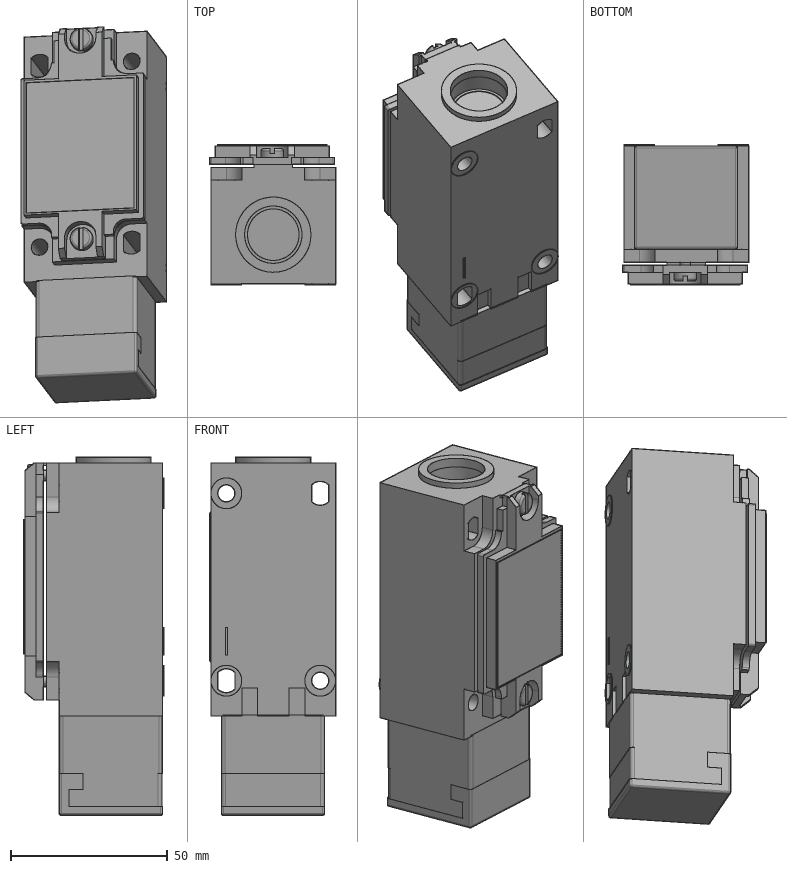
import cadquery as cq

TOTAL_HEIGHT = 114.7

HOUSING_WIDTH = 40.0
HOUSING_BOTTOM = 31.8
HOUSING_TOP = 112.9
SHELF_DEPTH = 33.1
BOSS_DEPTH = 37.3
BOSS_BOTTOM = 36.9
UPPER_POCKET_BOTTOM = 97.0
LOWER_POCKET_TOP = 49.3
POCKET_WIDTH = 10.0
POCKET_RADIUS = 4.9
TONGUE_WIDTH = 12.4
TONGUE_THICKNESS = 0.9
RAISED = 0.3

HOLE_SPACING_X = 30.0
HOLE_SPACING_Z = 60.0
LOWER_HOLE_Z = 43.1
HOLE_DIAMETER = 5.4
SLOT_LENGTH = 7.6
RIM_DIAMETER = 9.9

RIB_WIDTH = 0.7
RIB_BOTTOM = 51.4
RIB_TOP = 60.2
KEYWAY_CENTER_X = 7.6
KEYWAY_WIDTH = 5.0
KEYWAY_TOP = 40.8
KEYWAY_DEPTH = 1.7

ENTRY_Y = 15.7
COLLAR_DIAMETER = 24.1
COLLAR_BOTTOM = 111.7
ENTRY_BORE = 18.4
ENTRY_FLOOR_BORE = 16.5
ENTRY_STEP_Z = 106.2
ENTRY_FLOOR_Z = 106.0

HEAD_WIDTH = 33.0
HEAD_X = -0.1
HEAD_SEAT = 0.3
HEAD_FILLET = 1.1
HEAD_FRONT = 0.1
LOWER_HEAD_FRONT = 0.2
LOWER_HEAD_FILLET = 1.3
CAP_FLOOR = 2.9
CAP_TOP = 13.4
CAP_WALL = 3.2
HOOK_BOTTOM = 8.4
HOOK_REACH = 7.7
CAP_FILLET = 0.7

COVER_X = -0.3
FLANGE_BACK = 38.2
FLANGE_FRONT = 40.5
COVER_FRONT = 44.2
WING_WIDTH = 40.0
WING_BOTTOM = 49.1
WING_TOP = 97.2
WING_FILLET = 0.6
BLOCK_WIDTH = 36.6
BLOCK_BOTTOM = 51.0
BLOCK_TOP = 95.7
NECK_WIDTH = 20.2
UPPER_NECK_RADIUS = 4.8
LOWER_NECK_RADIUS = 4.1
NECK_BOTTOM = 44.3
NECK_TOP = 109.2
SHOULDER_WIDTH = 18.6
FLANGE_TAB_WIDTH = 12.4
TAB_WIDTH = 14.2
TAB_CHAMFER_Y = 3.0
TAB_CHAMFER_Z = 2.5
NOTCH_WIDTH = 10.2

LABEL_WIDTH = 35.1
LABEL_BOTTOM = 51.6
LABEL_TOP = 94.7

SCREW_LEVELS = (42.9, 108.9)
SHANK_DIAMETER = 3.4
SHANK_END = 31.0
SCREW_HEAD_DIAMETER = 7.1
SCREW_HEAD_HEIGHT = 2.8
SCREW_HEAD_FILLET = 0.7
SCREW_SLOT_WIDTH = 1.4
SCREW_SLOT_DEPTH = 1.5

UPPER_HOLE_Z = LOWER_HOLE_Z + HOLE_SPACING_Z
HOLE_X = HOLE_SPACING_X / 2
HEAD_TOP = HOUSING_BOTTOM + HEAD_SEAT


def block(x_mid, width, y_range, z_range):
    """Box centred on x_mid, between two Y values and two Z values."""
    depth = y_range[1] - y_range[0]
    height = z_range[1] - z_range[0]
    return (
        cq.Workplane("XY")
        .box(width, depth, height, centered=(True, False, False))
        .translate((x_mid, y_range[0], z_range[0]))
    )


def rod(x, z, diameter, y_start, y_end):
    """Cylinder along Y."""
    return cq.Workplane(cq.Solid.makeCylinder(
        diameter / 2, y_end - y_start, cq.Vector(x, y_start, z), cq.Vector(0, 1, 0)))


def upright(diameter, z_start, z_end):
    """Cylinder along Z on the cable entry axis."""
    return cq.Workplane(cq.Solid.makeCylinder(
        diameter / 2, z_end - z_start, cq.Vector(0, ENTRY_Y, z_start)))


def corner_pocket(side, z_range, inner_edge):
    """Rear corner pocket, rounded at its inner corner."""
    x_mid = side * (HOUSING_WIDTH - POCKET_WIDTH) / 2
    pocket = block(x_mid, POCKET_WIDTH, (SHELF_DEPTH, BOSS_DEPTH), z_range)
    x_selector = "<X" if side > 0 else ">X"
    return pocket.faces(x_selector).edges(inner_edge).fillet(POCKET_RADIUS)


def mounting_slot(x, z):
    """Hole with flat sides and arched ends."""
    arch = rod(x, z, SLOT_LENGTH, -RAISED, BOSS_DEPTH)
    flats = block(x, HOLE_DIAMETER, (-RAISED, BOSS_DEPTH), (z - SLOT_LENGTH, z + SLOT_LENGTH))
    return arch.intersect(flats)


def make_housing():
    body = block(0, HOUSING_WIDTH, (0, SHELF_DEPTH), (HOUSING_BOTTOM, HOUSING_TOP))
    body = body.union(block(0, HOUSING_WIDTH, (SHELF_DEPTH, BOSS_DEPTH), (BOSS_BOTTOM, HOUSING_TOP)))
    for side in (-1, 1):
        body = body.cut(corner_pocket(side, (UPPER_POCKET_BOTTOM, HOUSING_TOP), "<Z"))
        body = body.cut(corner_pocket(side, (BOSS_BOTTOM, LOWER_POCKET_TOP), ">Z"))
    tongue_levels = (HOUSING_TOP - TONGUE_THICKNESS, HOUSING_TOP)
    body = body.union(block(0, TONGUE_WIDTH, (BOSS_DEPTH, FLANGE_BACK), tongue_levels))

    for x, z in ((-HOLE_X, UPPER_HOLE_Z), (-HOLE_X, LOWER_HOLE_Z), (HOLE_X, LOWER_HOLE_Z)):
        body = body.union(rod(x, z, RIM_DIAMETER, -RAISED, 0))
    body = body.union(block(-HOLE_X, RIB_WIDTH, (-RAISED, 0), (RIB_BOTTOM, RIB_TOP)))

    for x, z in ((-HOLE_X, UPPER_HOLE_Z), (HOLE_X, LOWER_HOLE_Z)):
        body = body.cut(rod(x, z, HOLE_DIAMETER, -RAISED, BOSS_DEPTH))
    for x, z in ((HOLE_X, UPPER_HOLE_Z), (-HOLE_X, LOWER_HOLE_Z)):
        body = body.cut(mounting_slot(x, z))

    for side in (-1, 1):
        keyway = block(side * KEYWAY_CENTER_X, KEYWAY_WIDTH, (0, KEYWAY_DEPTH), (HOUSING_BOTTOM, KEYWAY_TOP))
        body = body.cut(keyway)

    body = body.cut(upright(COLLAR_DIAMETER, COLLAR_BOTTOM, HOUSING_TOP))
    body = body.cut(upright(ENTRY_BORE, ENTRY_STEP_Z, HOUSING_TOP))
    body = body.cut(upright(ENTRY_FLOOR_BORE, ENTRY_FLOOR_Z, ENTRY_STEP_Z))

    body = body.cut(head_blank())
    for z in SCREW_LEVELS:
        body = body.cut(rod(COVER_X, z, SHANK_DIAMETER, SHANK_END, FLANGE_BACK))
    return body


def make_collar():
    ring = upright(COLLAR_DIAMETER, COLLAR_BOTTOM, TOTAL_HEIGHT)
    return ring.cut(upright(ENTRY_BORE, COLLAR_BOTTOM, TOTAL_HEIGHT))


def head_blank():
    """Head with rounded upright edges, before the end cap is taken out of it."""
    blank = block(HEAD_X, HEAD_WIDTH, (HEAD_FRONT, SHELF_DEPTH), (0, HEAD_TOP))
    return blank.edges("|Z").fillet(HEAD_FILLET)


def cap_region():
    """Full-width profile of the cap: floor, rear wall and a hook at the top of the wall."""
    wall_y = SHELF_DEPTH - CAP_WALL
    hook_y = SHELF_DEPTH - HOOK_REACH
    return (
        cq.Workplane("YZ", origin=(HEAD_X - HEAD_WIDTH / 2, 0, 0))
        .moveTo(0, 0)
        .lineTo(SHELF_DEPTH, 0)
        .lineTo(SHELF_DEPTH, CAP_TOP)
        .lineTo(hook_y, CAP_TOP)
        .lineTo(hook_y, HOOK_BOTTOM)
        .lineTo(wall_y, HOOK_BOTTOM)
        .lineTo(wall_y, CAP_FLOOR)
        .lineTo(0, CAP_FLOOR)
        .close()
        .extrude(HEAD_WIDTH)
    )


def make_head():
    upper = head_blank().cut(block(HEAD_X, HEAD_WIDTH, (0, SHELF_DEPTH), (0, CAP_TOP)))
    lower = block(HEAD_X, HEAD_WIDTH, (LOWER_HEAD_FRONT, SHELF_DEPTH), (0, CAP_TOP))
    lower = lower.faces("<Y").edges("|Z").fillet(LOWER_HEAD_FILLET)
    return upper.union(lower.cut(cap_region()))


def make_cap():
    rounded = block(HEAD_X, HEAD_WIDTH, (0, SHELF_DEPTH), (0, CAP_TOP))
    rounded = rounded.edges("|Z or <Z").fillet(CAP_FILLET)
    return cap_region().intersect(rounded)


def wing_relief(side, z_range, inner_edge, radius):
    """Region beside the neck of the flange, rounded where the neck meets the wing."""
    width = (WING_WIDTH - NECK_WIDTH) / 2
    x_mid = COVER_X + side * (NECK_WIDTH + width) / 2
    relief = block(x_mid, width, (FLANGE_BACK, FLANGE_FRONT), z_range)
    x_selector = "<X" if side > 0 else ">X"
    return relief.faces(x_selector).edges(inner_edge).fillet(radius)


def make_flange():
    thickness = (FLANGE_BACK, FLANGE_FRONT)
    shoulder_bottom = WING_TOP + UPPER_NECK_RADIUS
    flange = block(COVER_X, WING_WIDTH, thickness, (NECK_BOTTOM, shoulder_bottom))
    for side in (-1, 1):
        flange = flange.cut(wing_relief(side, (WING_TOP, NECK_TOP), "<Z", UPPER_NECK_RADIUS))
        flange = flange.cut(wing_relief(side, (NECK_BOTTOM, WING_BOTTOM), ">Z", LOWER_NECK_RADIUS))
    flange = flange.edges("|Y").edges("<X or >X").fillet(WING_FILLET)
    shoulder = block(COVER_X, SHOULDER_WIDTH, thickness, (shoulder_bottom, NECK_TOP))
    upper_tab = block(COVER_X, FLANGE_TAB_WIDTH, thickness, (NECK_TOP, HOUSING_TOP))
    lower_tab = block(COVER_X, TAB_WIDTH, thickness, (BOSS_BOTTOM, NECK_BOTTOM))
    return flange.union(shoulder).union(upper_tab).union(lower_tab)


def make_tabs():
    """Raised middle strip, bevelled at both ends."""
    bevel_y = COVER_FRONT - TAB_CHAMFER_Y
    return (
        cq.Workplane("YZ", origin=(COVER_X - TAB_WIDTH / 2, 0, 0))
        .moveTo(FLANGE_FRONT, BOSS_BOTTOM)
        .lineTo(bevel_y, BOSS_BOTTOM)
        .lineTo(COVER_FRONT, BOSS_BOTTOM + TAB_CHAMFER_Z)
        .lineTo(COVER_FRONT, HOUSING_TOP - TAB_CHAMFER_Z)
        .lineTo(bevel_y, HOUSING_TOP)
        .lineTo(FLANGE_FRONT, HOUSING_TOP)
        .close()
        .extrude(TAB_WIDTH)
    )


def screw_notch(z, z_end):
    """Rounded notch around a screw head, open at the end of the strip."""
    span = (FLANGE_FRONT, COVER_FRONT)
    round_end = rod(COVER_X, z, NOTCH_WIDTH, *span)
    return round_end.union(block(COVER_X, NOTCH_WIDTH, span, (min(z, z_end), max(z, z_end))))


def make_cover():
    raised_block = block(COVER_X, BLOCK_WIDTH, (FLANGE_FRONT, COVER_FRONT), (BLOCK_BOTTOM, BLOCK_TOP))
    body = make_flange().union(raised_block).union(make_tabs())
    for z, z_end in zip(SCREW_LEVELS, (BOSS_BOTTOM, HOUSING_TOP)):
        body = body.cut(screw_notch(z, z_end))
        body = body.cut(rod(COVER_X, z, SHANK_DIAMETER, FLANGE_BACK, FLANGE_FRONT))
    return body


def make_label():
    return block(COVER_X, LABEL_WIDTH, (COVER_FRONT, COVER_FRONT + RAISED), (LABEL_BOTTOM, LABEL_TOP))


def make_screw(z):
    head_end = FLANGE_FRONT + SCREW_HEAD_HEIGHT
    shank = rod(COVER_X, z, SHANK_DIAMETER, SHANK_END, FLANGE_FRONT)
    head = rod(COVER_X, z, SCREW_HEAD_DIAMETER, FLANGE_FRONT, head_end)
    head = head.edges(">Y").fillet(SCREW_HEAD_FILLET)
    slot_levels = (z - SCREW_HEAD_DIAMETER / 2, z + SCREW_HEAD_DIAMETER / 2)
    slot = block(COVER_X, SCREW_SLOT_WIDTH, (head_end - SCREW_SLOT_DEPTH, head_end), slot_levels)
    return shank.union(head).cut(slot)


housing = make_housing()
collar = make_collar()
head = make_head()
cap = make_cap()
cover = make_cover()
label = make_label()
screws = [make_screw(z) for z in SCREW_LEVELS]

result = cq.Compound.makeCompound([
    housing.val(),
    collar.val(),
    head.val(),
    cap.val(),
    cover.val(),
    label.val(),
    *[screw.val() for screw in screws],
])